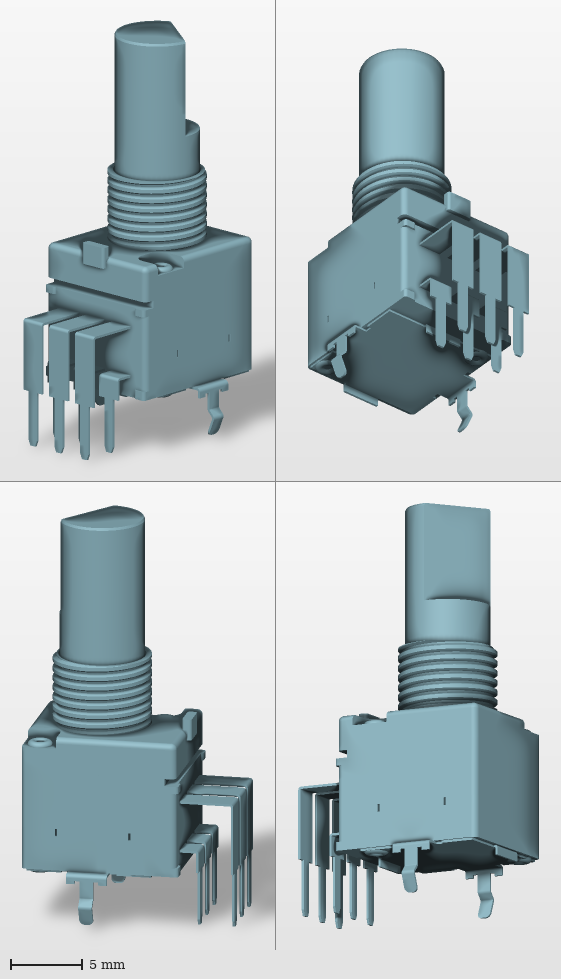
import cadquery as cq
import math


case_width = 9.6
case_back = 4.85
case_front = -6.27
case_edge_radius = 0.4

lower_top = 3.05
middle_top = 7.15
housing_top = 9.68

bushing_length = 5.0
bushing_radius = 3.5
bore_radius = 3.1
thread_turns = 7.2
thread_pitch = bushing_length / thread_turns
thread_start = -0.1
groove_depth = 0.25
groove_mouth = 0.43
groove_floor = 0.15
groove_overrun = 0.05

shaft_radius = 3.0
shaft_length = 15.0
shaft_chamfer_height = 0.17
shaft_chamfer_width = 0.1
flat_distance = 1.5
flat_length = 7.0
flat_angle = 55

lug_width = 2.05
lug_back = -5.93
lug_front = -6.62
lug_bottom = 8.97
lug_top = 10.5
lug_edge_radius = 0.2

rivet_x = 3.78
rivet_y = 3.67
rivet_ring_radius = 0.57
rivet_roll_radius = 0.32
rivet_bottom = -0.35
pocket_depth = 0.8
pocket_side = 2.38
pocket_inner_y = 2.32
pocket_front_y = -5.0
pocket_radius = 0.95

slot_back = -5.47
slot_height = 0.55

pad_width = 1.0
pad_depth = 0.57
pad_projection = 0.17
pad_radius = 0.23
middle_pad_height = 0.52
lower_pad_height = 0.63

tongue_width = 5.1
tongue_gap = 0.17
tongue_drop = 0.55
tongue_depth = 0.43
tongue_center_y = -0.32

sheet = 0.17
terminal_bend_radius = 0.15
clip_bend_radius = 0.2
hook_bend_radius = 0.11

terminal_count = 3
terminal_pitch = 2.5
terminal_width = 1.8
pin_width = 0.8
pin_tip_width = 0.45
pin_tip_length = 0.43
pin_bottom = housing_top + shaft_length - 28.65
upper_terminal_top = 5.19
upper_terminal_front = -10.1
lower_terminal_top = 1.6
lower_terminal_front = -7.62

plate_length = 9.5
plate_width = 9.28
plate_waist = 8.7
plate_waist_length = 3.95
hook_width = 2.95
hook_drop = 0.72
clip_width = 2.92
clip_side = 5.5
clip_flange_bottom = -0.72
leg_width = 0.97
leg_reach = 6.0
leg_straight_bottom = -1.78
leg_knuckle = -2.3
leg_tip_side = 5.33
leg_bottom = -3.67
leg_tip_radius = 0.37
leg_relief_width = 0.37
leg_relief_top = -0.5


def block(x0, x1, y0, y1, z0, z1):
    """Box between opposite corners."""
    return cq.Workplane("XY").box(x1 - x0, y1 - y0, z1 - z0, centered=False).translate((x0, y0, z0))


def case_layer(bottom, top):
    """Slice of the case with rounded upright corners."""
    layer = block(-case_width / 2, case_width / 2, case_front, case_back, bottom, top)
    return layer.edges("|Z").fillet(case_edge_radius)


def rolled_ring(x, y, z):
    """Rolled rivet head centred on a point."""
    return cq.Workplane(cq.Solid.makeTorus(rivet_ring_radius, rivet_roll_radius, cq.Vector(x, y, z)))


def rivet_places():
    return [(-rivet_x, rivet_y), (rivet_x, -rivet_y)]


def bent_strip(plane, corners, width, bend_radius):
    """Sheet strip along a centreline with rounded bends, centred on its sketch plane."""
    points = [cq.Vector(*corner) for corner in corners]
    outline = cq.Workplane(plane).moveTo(*corners[0])
    for before, corner, after in zip(points, points[1:], points[2:]):
        way_in = (before - corner).normalized()
        way_out = (after - corner).normalized()
        half_angle = way_in.getAngle(way_out) / 2
        setback = bend_radius / math.tan(half_angle)
        middle = (way_in + way_out).normalized() * (bend_radius / math.sin(half_angle) - bend_radius)
        start = corner + way_in * setback
        end = corner + way_out * setback
        mid = corner + middle
        outline = outline.lineTo(start.x, start.y).threePointArc((mid.x, mid.y), (end.x, end.y))
    path = outline.lineTo(*corners[-1])
    first = points[1] - points[0]
    start_frame = cq.Plane(
        origin=path.plane.toWorldCoords(corners[0]),
        xDir=path.plane.zDir,
        normal=path.plane.toWorldCoords((points[0] + first).toTuple()[:2])
        - path.plane.toWorldCoords(corners[0]),
    )
    return cq.Workplane(start_frame).rect(width, sheet).sweep(path)


def make_shaft():
    shaft_top = housing_top + shaft_length
    shaft = cq.Workplane("XY").workplane(offset=middle_top).circle(shaft_radius)
    shaft = shaft.extrude(shaft_top - middle_top)
    shaft = shaft.faces(">Z").edges().chamfer(shaft_chamfer_height, shaft_chamfer_width)
    flat = block(
        -2 * shaft_radius, -flat_distance, -shaft_radius, shaft_radius, shaft_top - flat_length, shaft_top
    )
    return shaft.cut(flat).rotate((0, 0, 0), (0, 0, 1), flat_angle + 180)


def thread_groove(length):
    """Helical groove that starts below the bushing."""
    root_radius = bushing_radius - groove_depth
    outer_radius = bushing_radius + groove_overrun
    flank_slope = (groove_mouth - groove_floor) / 2 / groove_depth
    half_floor = groove_floor / 2
    half_outer = half_floor + flank_slope * (outer_radius - root_radius)
    helix = cq.Wire.makeHelix(thread_pitch, length, root_radius)
    profile = cq.Workplane("XZ").polyline(
        [
            (root_radius, -half_floor),
            (outer_radius, -half_outer),
            (outer_radius, half_outer),
            (root_radius, half_floor),
        ]
    )
    groove = profile.close().sweep(cq.Workplane(helix), isFrenet=True)
    return groove.translate((0, 0, thread_start - thread_pitch))


def make_bushing():
    """Threaded bushing cut from a longer blank so that the thread runs out at both ends."""
    spare = 3 * thread_pitch
    blank = cq.Workplane("XY").workplane(offset=-spare).circle(bushing_radius)
    blank = blank.extrude(bushing_length + 2 * spare)
    threaded = blank.cut(thread_groove(bushing_length + spare))
    trim = cq.Workplane("XY").circle(2 * bushing_radius).extrude(bushing_length)
    return threaded.intersect(trim).translate((0, 0, housing_top))


def rivet_pockets():
    floor = housing_top - pocket_depth
    outside = case_width
    back = block(-outside, -pocket_side, pocket_inner_y, outside, floor, lug_top)
    back = back.edges("|Z and >X and <Y").fillet(pocket_radius)
    front = block(pocket_side, outside, pocket_front_y, -pocket_inner_y, floor, lug_top)
    front = front.edges("|Z and <X").fillet(pocket_radius)
    return back.union(front)


def make_housing():
    housing = case_layer(middle_top, housing_top).faces(">Z").edges().fillet(case_edge_radius)
    housing = housing.cut(rivet_pockets())
    for x, y in rivet_places():
        ring = rolled_ring(x, y, housing_top - pocket_depth)
        housing = housing.union(ring)
    lug = block(-lug_width / 2, lug_width / 2, lug_front, lug_back, lug_bottom, lug_top)
    housing = housing.union(lug.edges("|Z").fillet(lug_edge_radius))
    housing = housing.union(make_bushing())
    bore = cq.Workplane("XY").workplane(offset=middle_top).circle(bore_radius).extrude(housing_top)
    return housing.cut(bore)


def corner_pads(bottom, top):
    """Pair of pads on the two front corners."""
    outer = case_width / 2
    front = case_front - pad_projection
    pad = block(outer - pad_width, outer, front, front + pad_depth, bottom, top)
    pad = pad.edges("|Z and <Y").fillet(pad_radius)
    return pad.union(pad.mirror("YZ"))


def side_tongues(width, bottom, top):
    """Pair of blocks flush with the two sides of the case."""
    outer = case_width / 2
    tongue = block(
        outer - tongue_depth, outer, tongue_center_y - width / 2, tongue_center_y + width / 2, bottom, top
    )
    return tongue.union(tongue.mirror("YZ"))


def terminal(x, top, front):
    """Bent terminal whose wide blade narrows to a pin below the wafers."""
    level = top - sheet / 2
    face = front + sheet / 2
    corners = [(case_front + pad_depth, level), (face, level), (face, 0)]
    blade = bent_strip("YZ", corners, terminal_width, terminal_bend_radius)
    pin = (
        cq.Workplane("XZ", origin=(0, front + sheet, 0))
        .polyline(
            [
                (-pin_width / 2, sheet),
                (-pin_width / 2, pin_bottom + pin_tip_length),
                (-pin_tip_width / 2, pin_bottom),
                (pin_tip_width / 2, pin_bottom),
                (pin_width / 2, pin_bottom + pin_tip_length),
                (pin_width / 2, sheet),
            ]
        )
        .close()
        .extrude(sheet)
    )
    return blade.union(pin).translate((x, 0, 0))


def add_terminals(wafer, top, front):
    for index in range(terminal_count):
        x = (index - (terminal_count - 1) / 2) * terminal_pitch
        wafer = wafer.union(terminal(x, top, front))
    return wafer


def make_middle_wafer():
    wafer = case_layer(lower_top, middle_top)
    slot_floor = middle_top - slot_height
    wafer = wafer.union(corner_pads(slot_floor - middle_pad_height, slot_floor))
    wafer = wafer.cut(block(-case_width, case_width, lug_front, slot_back, slot_floor, middle_top))
    wafer = wafer.union(side_tongues(tongue_width, lower_top - tongue_drop, lower_top))
    return add_terminals(wafer, upper_terminal_top, upper_terminal_front)


def make_clip():
    """Snap-in clip on the right side of the bracket."""
    level = -sheet / 2
    side = clip_side - sheet / 2
    flange_corners = [(plate_waist / 2, level), (side, level), (side, clip_flange_bottom)]
    flange = bent_strip("XZ", flange_corners, clip_width, clip_bend_radius)
    relief_offset = (leg_width + leg_relief_width) / 2
    reliefs = (
        cq.Workplane("YZ")
        .pushPoints([(-relief_offset, clip_flange_bottom), (relief_offset, clip_flange_bottom)])
        .rect(leg_relief_width, 2 * (leg_relief_top - clip_flange_bottom))
        .extrude(case_width)
    )
    leg_corners = [
        (side, leg_relief_top),
        (side, leg_straight_bottom),
        (leg_reach - sheet / 2, leg_knuckle),
        (leg_tip_side, leg_bottom),
    ]
    leg = bent_strip("XZ", leg_corners, leg_width, clip_bend_radius)
    tip_stock = cq.Workplane("YZ").rect(leg_width, -2 * leg_bottom).extrude(case_width)
    leg = leg.intersect(tip_stock.edges("|X and <Z").fillet(leg_tip_radius))
    return flange.cut(reliefs).union(leg)


def make_hook():
    """Short turned-down lip on the back end of the plate."""
    level = -sheet / 2
    end = (plate_length - sheet) / 2
    corners = [(plate_waist_length / 2, level), (end, level), (end, -hook_drop)]
    return bent_strip("YZ", corners, hook_width, hook_bend_radius)


def make_bracket():
    half_width = plate_width / 2
    half_waist = plate_waist / 2
    plate_end = plate_length / 2 - sheet - hook_bend_radius
    waist_end = plate_waist_length / 2
    bracket = block(-half_waist, half_waist, -waist_end, waist_end, -sheet, 0)
    for start, end in [(-plate_end, -waist_end), (waist_end, plate_end)]:
        bracket = bracket.union(block(-half_width, half_width, start, end, -sheet, 0))
    hook = make_hook()
    bracket = bracket.union(hook).union(hook.mirror("XZ"))
    clip = make_clip()
    bracket = bracket.union(clip).union(clip.mirror("YZ"))
    for x, y in rivet_places():
        bracket = bracket.union(rolled_ring(x, y, rivet_bottom + rivet_roll_radius))
    return bracket


def make_lower_wafer():
    """Lower wafer with its terminals and the bracket on its underside."""
    wafer = case_layer(0, lower_top).union(corner_pads(0, lower_pad_height))
    recess_width = tongue_width + 2 * tongue_gap
    wafer = wafer.cut(side_tongues(recess_width, lower_top - tongue_drop, lower_top))
    wafer = add_terminals(wafer, lower_terminal_top, lower_terminal_front)
    return wafer.union(make_bracket())


shaft = make_shaft()
housing = make_housing()
middle_wafer = make_middle_wafer()
lower_wafer = make_lower_wafer()

result = cq.Compound.makeCompound(
    [shaft.val(), housing.val(), middle_wafer.val(), lower_wafer.val()]
)